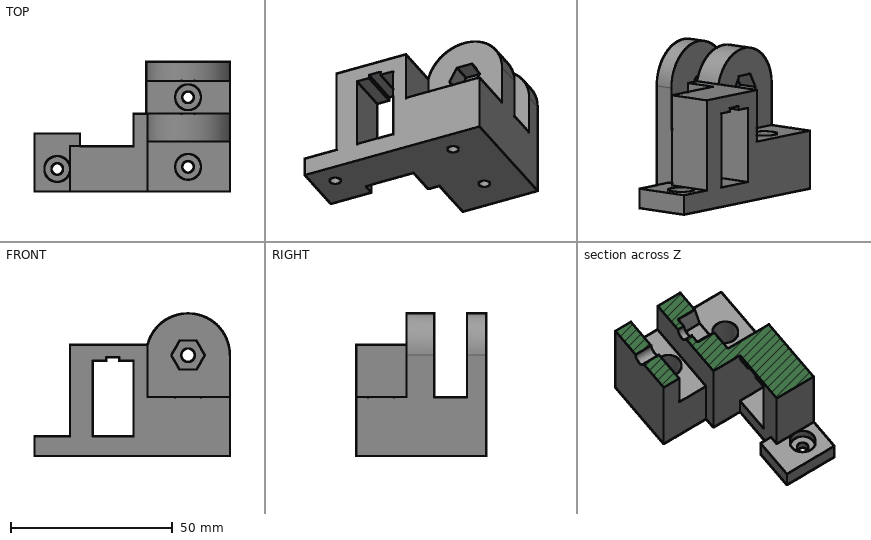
import cadquery as cq
import math

LENGTH = 60.55
PLATE_THICKNESS = 6.16
PLATE_DEPTH = 18.05
PLATE_END_LENGTH = 14.1

TOWER_LEFT = 11.0
TOWER_DEPTH = 14.1
TOWER_HEIGHT = 34.5
WINDOW_LEFT = 18.1
WINDOW_WIDTH = 12.55
WINDOW_TOP = 29.45
NOTCH_OFFSET = 4.15
NOTCH_WIDTH = 4.0
NOTCH_HEIGHT = 1.15

CHEEK_RADIUS = 13.0
PIVOT_HEIGHT = 31.24
FRONT_CHEEK_START = 15.55
FRONT_CHEEK_END = 24.2
BACK_CHEEK_THICKNESS = 6.0
CHEEK_GAP = 10.1
BLOCK_HEIGHT = 18.25
STEP_X = 35.05

PIVOT_DIAMETER = 4.1
NUT_FLATS = 9.0
NUT_SIDES = 6
NUT_DEPTH = 6.3

SCREW_DIAMETER = 3.5
HEAD_DIAMETER = 8.0
SCREW_SEAT_HEIGHT = 3.0
PLATE_SCREW_INSET = PLATE_END_LENGTH / 2
BLOCK_SCREW_Y = 7.7

WINDOW_RIGHT = WINDOW_LEFT + WINDOW_WIDTH
PIVOT_X = LENGTH - CHEEK_RADIUS
CLEVIS_LEFT = LENGTH - 2 * CHEEK_RADIUS
BACK_CHEEK_START = FRONT_CHEEK_END + CHEEK_GAP
DEPTH = BACK_CHEEK_START + BACK_CHEEK_THICKNESS
GAP_MIDDLE_Y = FRONT_CHEEK_END + CHEEK_GAP / 2


def box_between(x_range, y_range, z_range):
    """Box spanning the given (low, high) range along each axis."""
    size = [high - low for low, high in (x_range, y_range, z_range)]
    corner = (x_range[0], y_range[0], z_range[0])
    return cq.Workplane("XY").box(*size, centered=False).translate(corner)


def plane_at_y(y):
    """XZ sketch plane at depth y; positive extrusion runs toward -Y."""
    return cq.Workplane("XZ", origin=(0, y, 0))


def make_base():
    end_plate = box_between((0, PLATE_END_LENGTH), (0, PLATE_DEPTH), (0, PLATE_THICKNESS))
    strip = box_between((0, LENGTH), (0, TOWER_DEPTH), (0, PLATE_THICKNESS))
    front_block = box_between((WINDOW_RIGHT, LENGTH), (0, FRONT_CHEEK_END), (0, BLOCK_HEIGHT))
    clevis_block = box_between((CLEVIS_LEFT, LENGTH), (0, DEPTH), (0, BLOCK_HEIGHT))
    return end_plate.union(strip).union(front_block).union(clevis_block)


def make_tower():
    arch = box_between((TOWER_LEFT, STEP_X), (0, TOWER_DEPTH), (0, TOWER_HEIGHT))
    post = box_between((WINDOW_RIGHT, STEP_X), (0, FRONT_CHEEK_END), (0, TOWER_HEIGHT))
    return arch.union(post)


def make_window():
    opening = box_between(
        (WINDOW_LEFT, WINDOW_RIGHT), (0, TOWER_DEPTH), (PLATE_THICKNESS, WINDOW_TOP)
    )
    notch_left = WINDOW_LEFT + NOTCH_OFFSET
    notch = box_between(
        (notch_left, notch_left + NOTCH_WIDTH),
        (0, TOWER_DEPTH),
        (PLATE_THICKNESS, WINDOW_TOP + NOTCH_HEIGHT),
    )
    return opening.union(notch)


def make_cheek(y_start, y_end):
    """Upright cheek with a half-round top centred on the pivot."""
    return (
        plane_at_y(y_end)
        .moveTo(CLEVIS_LEFT, 0)
        .lineTo(LENGTH, 0)
        .lineTo(LENGTH, PIVOT_HEIGHT)
        .threePointArc((PIVOT_X, PIVOT_HEIGHT + CHEEK_RADIUS), (CLEVIS_LEFT, PIVOT_HEIGHT))
        .close()
        .extrude(y_end - y_start)
    )


def make_pivot_cut():
    """Bore through both cheeks plus the hexagonal pocket in the front cheek."""
    bore = plane_at_y(DEPTH).center(PIVOT_X, PIVOT_HEIGHT).circle(PIVOT_DIAMETER / 2).extrude(DEPTH)
    nut_corners = NUT_FLATS / math.cos(math.pi / NUT_SIDES)
    nut = (
        plane_at_y(FRONT_CHEEK_START + NUT_DEPTH)
        .center(PIVOT_X, PIVOT_HEIGHT)
        .polygon(NUT_SIDES, nut_corners)
        .extrude(NUT_DEPTH)
    )
    return bore.union(nut)


def make_screw_cut(x, y, top):
    """Through hole with a head bore that opens at height top."""
    shank = cq.Workplane("XY").center(x, y).circle(SCREW_DIAMETER / 2).extrude(top)
    head = (
        cq.Workplane("XY", origin=(x, y, SCREW_SEAT_HEIGHT))
        .circle(HEAD_DIAMETER / 2)
        .extrude(top - SCREW_SEAT_HEIGHT)
    )
    return shank.union(head)


result = make_base().union(make_tower()).cut(make_window())
result = result.union(make_cheek(FRONT_CHEEK_START, FRONT_CHEEK_END))
result = result.union(make_cheek(BACK_CHEEK_START, DEPTH))
result = result.cut(make_pivot_cut())

screw_places = [
    (PLATE_SCREW_INSET, PLATE_SCREW_INSET, PLATE_THICKNESS),
    (PIVOT_X, BLOCK_SCREW_Y, BLOCK_HEIGHT),
    (PIVOT_X, GAP_MIDDLE_Y, BLOCK_HEIGHT),
]
for screw_x, screw_y, screw_top in screw_places:
    result = result.cut(make_screw_cut(screw_x, screw_y, screw_top))